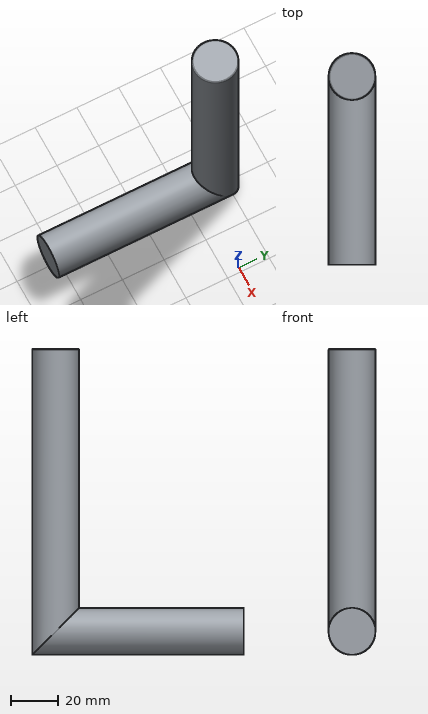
import cadquery as cq

bar_diameter = 20.0
overall_depth = 90.0
overall_height = 130.0
top_edge_fillet = 0.5

bar_radius = bar_diameter / 2
horizontal_length = overall_depth - bar_radius
vertical_length = overall_height - bar_radius


def mitred_bar_path():
    """Bar axis, from the free end of the horizontal leg to the top of the vertical leg."""
    return (
        cq.Workplane("YZ")
        .moveTo(-horizontal_length, 0)
        .lineTo(0, 0)
        .lineTo(0, vertical_length)
    )


def bent_bar():
    """Round section carried along the axis with a sharp mitre at the corner."""
    section = cq.Workplane("XZ", origin=(0, -horizontal_length, 0)).circle(bar_radius)
    return section.sweep(mitred_bar_path(), transition="right")


result = bent_bar().faces(">Z").edges().fillet(top_edge_fillet)